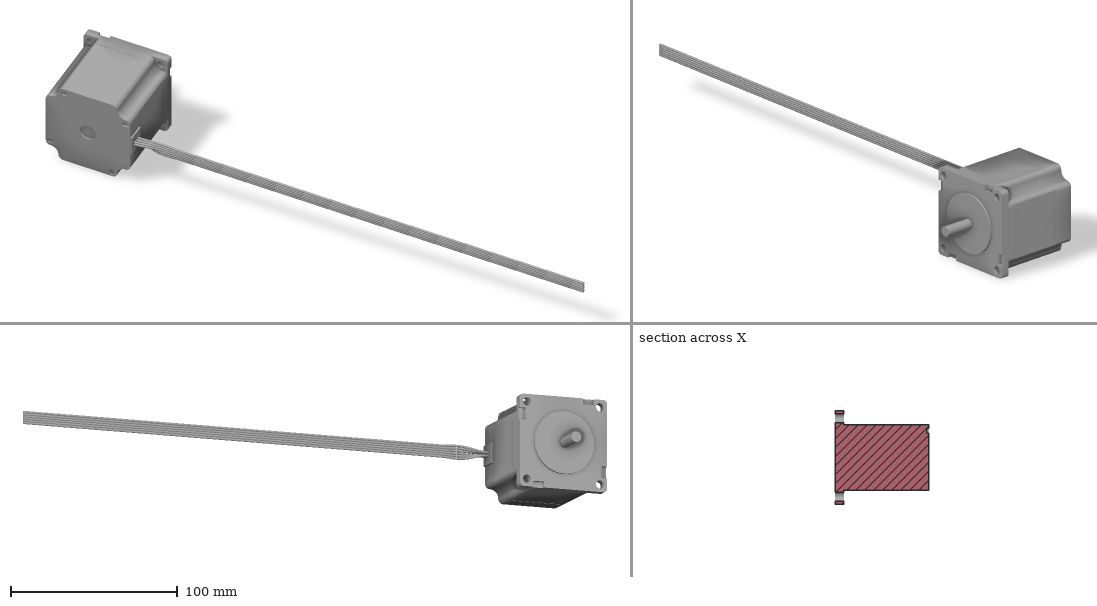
import cadquery as cq

total_length_x = 357.5
cap_side = 56.5
stator_side = 56.0
motor_length = 56.0
flange_thickness = 5.5
front_cap_length = 10.0
rear_cap_length = 12.0
flange_corner_radius = 2.5

shaft_diameter = 6.5
shaft_length = 20.5
pilot_diameter = 38.2
pilot_height = 1.5

hole_spacing = 47.0
hole_diameter = 5.0
gutter_lip_radius = 3.2
gutter_radius = 5.5

notch_offset = 16.0
notch_width = 7.0
notch_depth = 2.0
notch_reach = 3.5
pocket_width = 3.0
pocket_length = 4.0
pocket_edge_gap = 1.0
pocket_depth = 1.0
rear_recess_diameter = 10.5

outlet_thickness = 1.0
outlet_height = 12.5
outlet_length = 11.8
outlet_columns = 2
outlet_rows = 3
lead_count = outlet_columns * outlet_rows
lead_diameter = 1.5
lead_pitch = 1.32
outlet_row_pitch = 2.0
outlet_column_pitch = 1.8
fan_length = 19.0
fan_pitch = 1.55
gather_length = 10.7
lead_embed = 0.7
outlet_embed = 3.5

half_cap = cap_side / 2
outlet_face_x = half_cap + outlet_thickness
outlet_root_x = half_cap - outlet_embed
rear_cap_front = rear_cap_length - motor_length
lead_y = rear_cap_front - rear_cap_length / 2
ribbon_end_x = total_length_x - half_cap


def square_block(side, y_front, length):
    """Square block centred on the motor axis, reaching back from y_front."""
    return cq.Workplane("XZ", origin=(0, y_front, 0)).rect(side, side).extrude(length)


def corner_gutter():
    """Rounded gutter along the -X, -Z edge, from behind the flange to the rear face."""
    lip = gutter_lip_radius
    inner = lip + gutter_radius
    start = inner + lip
    diagonal = 0.5 ** 0.5
    lip_mid = lip * (1 - diagonal)
    gutter_mid = lip + gutter_radius * diagonal
    outside = -lip
    corner = cq.Workplane("XZ", origin=(-half_cap, -flange_thickness, -half_cap))
    return (
        corner.moveTo(outside, outside)
        .lineTo(start, outside)
        .lineTo(start, 0)
        .threePointArc((start - lip * diagonal, lip_mid), (inner, lip))
        .threePointArc((gutter_mid, gutter_mid), (lip, inner))
        .threePointArc((lip_mid, start - lip * diagonal), (0, start))
        .lineTo(outside, start)
        .close()
        .extrude(motor_length)
    )


def around_axis(shape):
    """Four copies of a shape, a quarter turn apart about the motor axis."""
    return [shape.rotate((0, 0, 0), (0, 1, 0), 90 * turn) for turn in range(4)]


def housing():
    body = square_block(cap_side, 0, front_cap_length).edges("|Y").fillet(flange_corner_radius)
    stator_length = motor_length - front_cap_length - rear_cap_length
    body = body.union(square_block(stator_side, -front_cap_length, stator_length))
    body = body.union(square_block(cap_side, rear_cap_front, rear_cap_length))

    notch = cq.Workplane("XY").box(notch_width, 2 * notch_depth, 2 * notch_reach)
    notch = notch.translate((-notch_offset, 0, half_cap))
    pocket = cq.Workplane("XY").box(pocket_width, 2 * pocket_depth, pocket_length)
    pocket_z = half_cap - pocket_edge_gap - pocket_length / 2
    pocket = pocket.translate((-notch_offset, -motor_length, pocket_z))
    for cutter in (corner_gutter(), notch, pocket):
        for copy in around_axis(cutter):
            body = body.cut(copy)

    holes = (
        cq.Workplane("XZ")
        .rect(hole_spacing, hole_spacing, forConstruction=True)
        .vertices()
        .circle(hole_diameter / 2)
        .extrude(flange_thickness)
    )
    recess = (
        cq.Workplane("XZ", origin=(0, pocket_depth - motor_length, 0))
        .circle(rear_recess_diameter / 2)
        .extrude(pocket_depth)
    )
    return body.cut(holes).cut(recess)


def pilot_and_shaft():
    pilot = cq.Workplane("XZ").circle(pilot_diameter / 2).extrude(-pilot_height)
    shaft = cq.Workplane("XZ").circle(shaft_diameter / 2).extrude(-shaft_length)
    return pilot.union(shaft)


def lead_outlet():
    outlet_depth = outlet_face_x - outlet_root_x
    outlet = cq.Workplane("XY").box(outlet_depth, outlet_length, outlet_height, centered=(False, False, True))
    return outlet.translate((outlet_root_x, rear_cap_front - outlet_length, 0))


def curved_lead(start, end):
    """Stretch of lead that leaves and arrives along X."""
    ends = [cq.Vector(*start), cq.Vector(*end)]
    along_x = (1, 0, 0)
    path = cq.Workplane("XY").spline(ends, tangents=[along_x, along_x])
    return cq.Workplane("YZ", origin=start).circle(lead_diameter / 2).sweep(path)


def lead(index):
    """One lead: leaves the outlet in a bundle of two columns and swings into its place in the ribbon.

    The leads fan out slightly wider than the ribbon before they gather into it.
    """
    place = index - (lead_count - 1) / 2
    side = 1 if place > 0 else -1
    row = side * (index % outlet_rows - (outlet_rows - 1) / 2)
    start = (
        outlet_face_x - lead_embed,
        lead_y + row * outlet_row_pitch,
        side * outlet_column_pitch / 2,
    )
    fan_end = (outlet_face_x + fan_length, lead_y, place * fan_pitch)
    ribbon_start = (fan_end[0] + gather_length, lead_y, place * lead_pitch)
    straight = (
        cq.Workplane("YZ", origin=ribbon_start)
        .circle(lead_diameter / 2)
        .extrude(ribbon_end_x - ribbon_start[0])
    )
    fan = curved_lead(start, fan_end)
    gather = curved_lead(fan_end, ribbon_start)
    return straight.union(gather).union(fan)


result = housing().union(pilot_and_shaft()).union(lead_outlet())
for lead_index in range(lead_count):
    result = result.union(lead(lead_index))